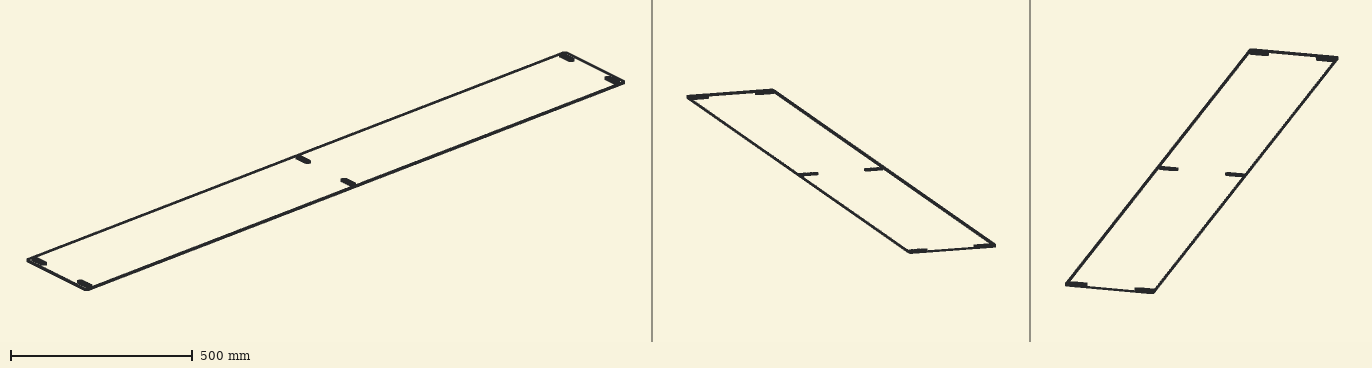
import cadquery as cq

length = 1973.0
width = 249.0
thickness = 3.2
corner_radius = 5.0

slot_length = 50.0
slot_width = 14.0
slot_side_margin = 5.1
slot_end_inset = 20.0

slot_x = width / 2 - slot_side_margin - slot_length / 2
slot_y = length / 2 - slot_end_inset
slot_centers = [(side * slot_x, row * slot_y) for side in (-1, 1) for row in (-1, 0, 1)]

plate = cq.Workplane("XY").box(width, length, thickness).edges("|Z").fillet(corner_radius)

result = (
    plate.faces(">Z")
    .workplane()
    .pushPoints(slot_centers)
    .slot2D(slot_length, slot_width)
    .cutThruAll()
)